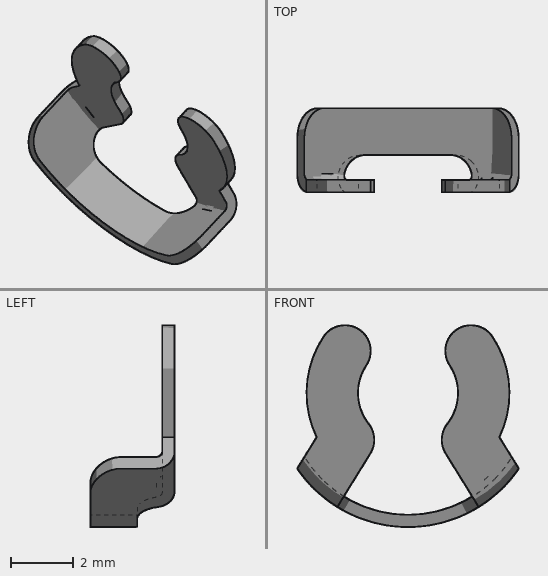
import cadquery as cq
import math

overall_width = 7.1
overall_depth = 2.7
arm_height = 2.17
thickness = 0.4
wall_radius = 4.295
arm_outer_radius = 3.25
arm_inner_radius = 1.6
tab_angle = 31.8
inner_bend_radius = 0.2
rear_corner_radius = 1.0
web_depth = 1.505

half_width = overall_width / 2
outer_bend_radius = inner_bend_radius + thickness
wall_inner_radius = wall_radius - thickness
web_front = overall_depth - web_depth
notch_radius = web_front - thickness
arm_mid_radius = (arm_outer_radius + arm_inner_radius) / 2
end_radius = (arm_outer_radius - arm_inner_radius) / 2
tip_angle = 180 - math.degrees(math.asin((arm_height - end_radius) / arm_mid_radius))
tab_direction = 270 - tab_angle
lobe_half_angle = math.degrees(math.asin(end_radius / arm_mid_radius))
lobe_angle = tab_direction - lobe_half_angle
tab_corner_angle = math.degrees(math.asin(half_width / wall_radius)) - tab_angle
tab_width = wall_radius * math.sin(math.radians(tab_corner_angle))


def polar(radius, angle, center=(0, 0)):
    """Point (x, z) at an angle in degrees, counter-clockwise from +X."""
    a = math.radians(angle)
    return (center[0] + radius * math.cos(a), center[1] + radius * math.sin(a))


def make_bent_ring():
    """Full ring: cylindrical wall bent inward into a flat front flange."""
    profile = (
        cq.Workplane("XY")
        .moveTo(arm_mid_radius, 0)
        .lineTo(wall_radius - outer_bend_radius, 0)
        .radiusArc((wall_radius, outer_bend_radius), -outer_bend_radius)
        .lineTo(wall_radius, overall_depth)
        .lineTo(wall_inner_radius, overall_depth)
        .lineTo(wall_inner_radius, outer_bend_radius)
        .radiusArc((wall_inner_radius - inner_bend_radius, thickness), inner_bend_radius)
        .lineTo(arm_mid_radius, thickness)
        .close()
    )
    return profile.revolve(360, (0, 0, 0), (0, 1, 0))


def make_left_blank():
    """Flat outline of the left tab and half web, swept along the tab direction."""
    direction_x, direction_z = polar(1, tab_direction)
    plane = cq.Plane(
        origin=(0, 0, 0),
        xDir=(direction_z, 0, -direction_x),
        normal=(direction_x, 0, direction_z),
    )
    web_end = -half_width
    blank = (
        cq.Workplane(plane)
        .moveTo(0, 0)
        .lineTo(tab_width, 0)
        .lineTo(tab_width, overall_depth - rear_corner_radius)
        .radiusArc((tab_width - rear_corner_radius, overall_depth), -rear_corner_radius)
        .lineTo(web_end, overall_depth)
        .lineTo(web_end, web_front)
        .lineTo(-notch_radius, web_front)
        .radiusArc((0, thickness), notch_radius)
        .close()
        .extrude(2 * wall_radius)
    )
    left_side = (
        cq.Workplane("XY")
        .box(2 * wall_radius, 2 * overall_depth, 4 * wall_radius)
        .translate((-wall_radius, 0, 0))
    )
    return blank.intersect(left_side)


def make_left_arm():
    """Flat curved arm with a round tip and a rounded gripping lobe."""
    tip_center = polar(arm_mid_radius, tip_angle)
    lobe_center = polar(arm_mid_radius, lobe_angle)
    lobe_tangent = polar(arm_mid_radius * math.cos(math.radians(lobe_half_angle)), tab_direction)
    lobe_start_angle = lobe_angle - 180
    lobe_end_angle = tab_direction + 90 - 360
    lobe_middle = polar(end_radius, (lobe_start_angle + lobe_end_angle) / 2, lobe_center)
    edge_angle = tab_direction - math.degrees(math.asin(tab_width / arm_outer_radius))
    return (
        cq.Workplane("XZ")
        .moveTo(*polar(arm_outer_radius, edge_angle))
        .threePointArc(
            polar(arm_outer_radius, (edge_angle + tip_angle) / 2),
            polar(arm_outer_radius, tip_angle),
        )
        .threePointArc(
            polar(end_radius, tip_angle - 90, tip_center),
            polar(arm_inner_radius, tip_angle),
        )
        .threePointArc(
            polar(arm_inner_radius, (tip_angle + lobe_angle) / 2),
            polar(arm_inner_radius, lobe_angle),
        )
        .threePointArc(lobe_middle, lobe_tangent)
        .lineTo(*polar(arm_outer_radius, tab_direction))
        .close()
        .extrude(-thickness)
    )


left_half = make_bent_ring().intersect(make_left_blank()).union(make_left_arm())
result = left_half.union(left_half.mirror("YZ")).clean()